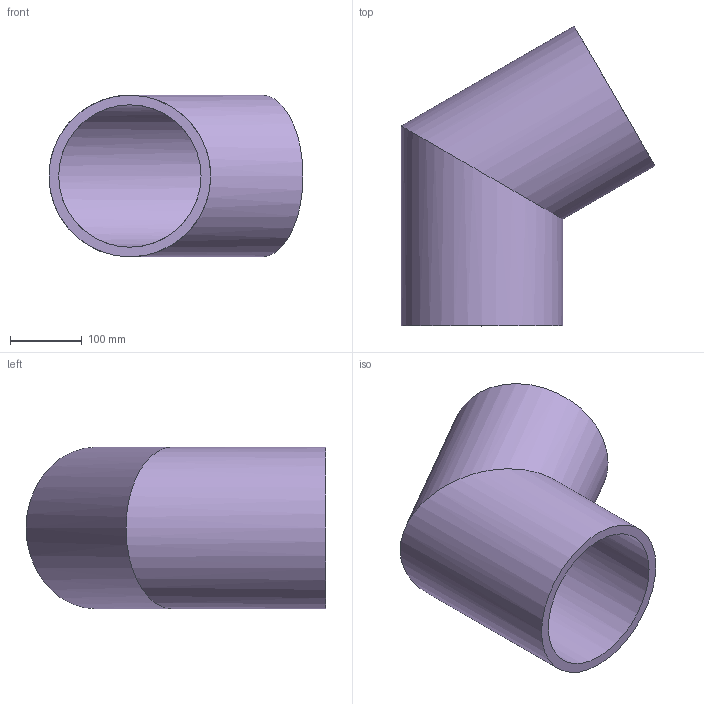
import cadquery as cq
import math

OUTER_DIAMETER = 225.0
WALL = 13.4
TURN_ANGLE = 60.0
LEG_LENGTH = 213.333

outer_radius = OUTER_DIAMETER / 2
inner_radius = outer_radius - WALL
turn = math.radians(TURN_ANGLE)

inlet_center = (0, -LEG_LENGTH)
outlet_center = (LEG_LENGTH * math.sin(turn), LEG_LENGTH * math.cos(turn))


def mitred_rod(radius):
    """Solid round bar following the centreline with a sharp mitre at the bend."""
    centerline = cq.Workplane("XY").polyline([inlet_center, (0, 0), outlet_center])
    inlet_plane = cq.Plane(origin=(*inlet_center, 0), xDir=(1, 0, 0), normal=(0, 1, 0))
    return cq.Workplane(inlet_plane).circle(radius).sweep(centerline, transition="right")


result = mitred_rod(outer_radius).cut(mitred_rod(inner_radius))